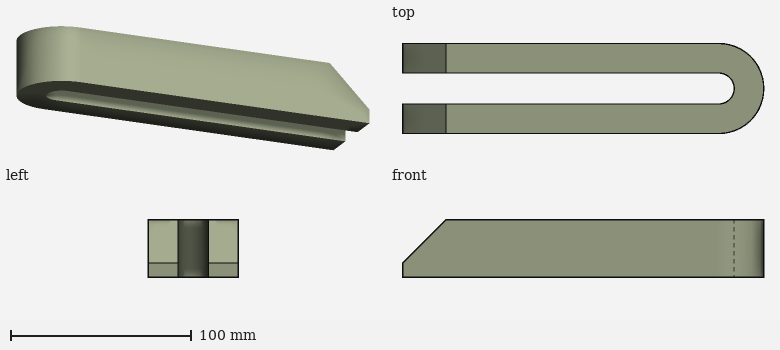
import cadquery as cq
import math

length = 200.0
width = 50.0
height = 32.0
slot_width = 17.0
nose_height = 8.0
bevel_angle = 45.0

outer_radius = width / 2
slot_radius = slot_width / 2
bend_center_x = length - outer_radius


def round_ended_bar(radius):
    """Bar from the nose end (X = 0) to a half-round end about the bend center."""
    return (
        cq.Workplane("XY")
        .moveTo(0, -radius)
        .lineTo(bend_center_x, -radius)
        .threePointArc((bend_center_x + radius, 0), (bend_center_x, radius))
        .lineTo(0, radius)
        .close()
        .extrude(height)
    )


def nose_bevel():
    """Wedge above the sloping nose, spanning both legs."""
    rise = height - nose_height
    run = rise / math.tan(math.radians(bevel_angle))
    return (
        cq.Workplane("XZ")
        .polyline([(0, nose_height), (run, height), (0, height)])
        .close()
        .extrude(outer_radius, both=True)
    )


result = round_ended_bar(outer_radius).cut(round_ended_bar(slot_radius)).cut(nose_bevel())